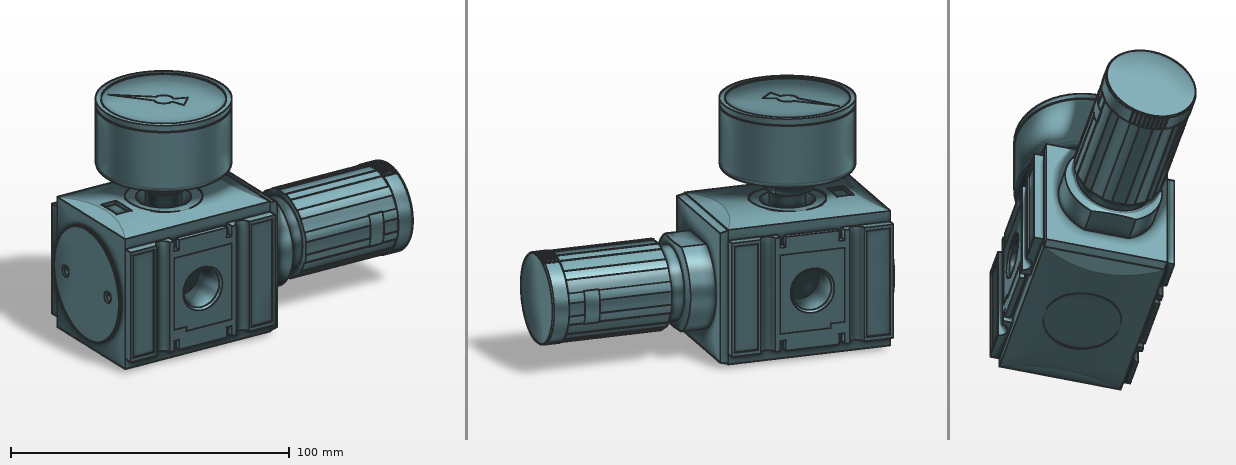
import cadquery as cq
import math


BLOCK_WIDTH = 45.0
BLOCK_HALF_LENGTH = 31.0
SIDE_EDGE_HEIGHT = 25.5
CROWN_HEIGHT = 27.1
END_BEVEL_LENGTH = 6.0
FLANGE_STEP = 0.2
FLANGE_SIDE_STEP = 0.1
FLANGE_LENGTH = 3.0
FLANGE_END_Y = BLOCK_HALF_LENGTH + FLANGE_LENGTH

PAD_FACE_X = 26.0
PAD_HALF_HEIGHT = 21.5
PAD_HALF_LENGTH = 30.9
GROOVE_RADIUS = 2.75
GROOVE_Y = 17.0
PANEL_CENTER_Y = 25.25
PANEL_WIDTH = 9.1
PANEL_HEIGHT = 40.2
PANEL_DEPTH = 0.8
PORT_PANEL_HALF_WIDTH = 12.3
PORT_PANEL_TOP_Z = 14.8
PORT_PANEL_BOTTOM_Z = -15.0
PORT_PANEL_STEP_WIDTH = 5.3
PORT_PANEL_STEP_HEIGHT = 1.7
PORT_PANEL_DEPTH = 0.1
NOTCH_WIDTH = 2.1
NOTCH_DEPTH = 3.9
STRIP_THICKNESS = 2.0
PORT_DIAMETER = 15.1
PORT_MOUTH_DIAMETER = 16.8
PORT_DEPTH = 14.0

SEAT_DIAMETER = 28.0
SEAT_Z = 26.5
GAUGE_THREAD_DIAMETER = 13.16
GAUGE_PORT_MOUTH_DIAMETER = 20.0
GAUGE_THREAD_END_Z = 16.5
LABEL_WIDTH = 10.4
LABEL_LENGTH = 6.3
LABEL_CENTER_Y = -20.2
LABEL_FLOOR_Z = 25.6

CAP_FACE_Y = -33.0
CAP_DISC_THICKNESS = 1.0
CAP_DIAMETER = 43.5
CAP_EDGE_CHAMFER = 0.4
CAP_NECK_DIAMETER = 37.2
CAP_HOLE_DIAMETER = 3.2
CAP_HOLE_MOUTH_DIAMETER = 4.4
CAP_HOLE_OFFSET = 13.9
CAP_HOLE_DEPTH = 4.0
CAP_HOLE_MOUTH_ANGLE = 90.0

NUT_DIAMETER = 36.0
NUT_ACROSS_FLATS = 32.0
NUT_END_Y = 44.6
NUT_CHAMFER_HEIGHT = 0.9
NUT_CHAMFER_WIDTH = 3.0
BONNET_NECK_DIAMETER = 28.0

KNOB_START_Y = 50.3
KNOB_RIM_Y = 89.6
KNOB_END_Y = 96.0
KNOB_DIAMETER = 33.2
KNOB_RIM_DIAMETER = 33.6
KNOB_RIM_CHAMFER_LENGTH = 0.6
KNOB_RIM_CHAMFER_WIDTH = 0.4
FLUTE_COUNT = 12
FLUTE_ANGLE = 17.4
FLUTE_DEPTH = 0.3
GRIP_PAD_START_Y = 77.8
GRIP_PAD_END_Y = 83.5
GRIP_PAD_HALF_HEIGHT = 6.25
GRIP_PAD_RADIUS = 16.65
SERRATION_COUNT = 9
SERRATION_PITCH = 5.6
SERRATION_WIDTH = 0.45
SERRATION_DEPTH = 0.4

GAUGE_TOP_Z = 65.0
GAUGE_BOTTOM_Z = 38.5
GAUGE_DIAMETER = 49.0
GAUGE_RIM_HEIGHT = 2.4
GAUGE_GROOVE_WIDTH = 0.3
GAUGE_GROOVE_DEPTH = 0.2
GAUGE_BOTTOM_FILLET = 2.0
DIAL_DIAMETER = 45.0
DIAL_DEPTH = 0.5
NEEDLE_THICKNESS = 0.1
NEEDLE_HUB_RADIUS = 3.6
NEEDLE_LENGTH = 20.4
NEEDLE_ROOT_HALF_WIDTH = 1.6
NEEDLE_TAIL_LENGTH = 8.2
NEEDLE_TAIL_HALF_WIDTH = 3.4
NEEDLE_WAIST_HALF_WIDTH = 1.4
NEEDLE_ANGLE = 225.0
STEM_WIDTH = 14.3
STEM_BOTTOM_Z = 30.0
STEM_BEVEL_DIAMETER = 14.3
STEM_BEVEL_SLOPE = 0.5


def cylinder_y(diameter, y_start, y_end):
    """Solid cylinder on the Y axis."""
    return cq.Workplane("XZ", origin=(0, y_start, 0)).circle(diameter / 2).extrude(y_start - y_end)


def cylinder_z(diameter, z_start, z_end):
    """Solid cylinder on the Z axis."""
    return cq.Workplane("XY", origin=(0, 0, z_start)).circle(diameter / 2).extrude(z_end - z_start)


def box_between(x_range, y_range, z_range):
    """Box given by its limits along the three axes."""
    sizes = [high - low for low, high in (x_range, y_range, z_range)]
    corner = (x_range[0], y_range[0], z_range[0])
    return cq.Workplane("XY", origin=corner).box(*sizes, centered=False)


def make_block():
    """Block with domed top and bottom, bevelled towards both ends."""
    half_width = BLOCK_WIDTH / 2
    domed = (
        cq.Workplane("XZ", origin=(0, FLANGE_END_Y, 0))
        .moveTo(-half_width, -SIDE_EDGE_HEIGHT)
        .threePointArc((0, -CROWN_HEIGHT), (half_width, -SIDE_EDGE_HEIGHT))
        .lineTo(half_width, SIDE_EDGE_HEIGHT)
        .threePointArc((0, CROWN_HEIGHT), (-half_width, SIDE_EDGE_HEIGHT))
        .close()
        .extrude(FLANGE_END_Y + BLOCK_HALF_LENGTH)
    )
    slope = (CROWN_HEIGHT - SIDE_EDGE_HEIGHT) / END_BEVEL_LENGTH
    bevel_start_y = BLOCK_HALF_LENGTH - END_BEVEL_LENGTH
    flange_edge = SIDE_EDGE_HEIGHT - FLANGE_STEP
    flange_end = flange_edge - slope * FLANGE_LENGTH
    upper = [
        (-BLOCK_HALF_LENGTH, SIDE_EDGE_HEIGHT),
        (-bevel_start_y, CROWN_HEIGHT),
        (bevel_start_y, CROWN_HEIGHT),
        (BLOCK_HALF_LENGTH, SIDE_EDGE_HEIGHT),
        (BLOCK_HALF_LENGTH, flange_edge),
        (FLANGE_END_Y, flange_end),
    ]
    lower = [(y, -z) for y, z in reversed(upper)]
    side_outline = cq.Workplane("YZ").polyline(upper + lower).close().extrude(half_width, both=True)
    block = domed.intersect(side_outline)
    flange_half_width = half_width - FLANGE_SIDE_STEP
    flange_y = (BLOCK_HALF_LENGTH, FLANGE_END_Y)
    full_height = (-CROWN_HEIGHT, CROWN_HEIGHT)
    for x_range in ((-half_width, -flange_half_width), (flange_half_width, half_width)):
        block = block.cut(box_between(x_range, flange_y, full_height))
    return block


def make_side_pad():
    """Pad on the -X side with grooves, shallow panels and clip notches."""
    outer_x = -PAD_FACE_X
    block_x = -BLOCK_WIDTH / 2
    pad = box_between(
        (outer_x, block_x), (-PAD_HALF_LENGTH, PAD_HALF_LENGTH), (-PAD_HALF_HEIGHT, PAD_HALF_HEIGHT)
    )
    for side in (-1, 1):
        groove = (
            cq.Workplane("XY", origin=(outer_x, side * GROOVE_Y, 0))
            .circle(GROOVE_RADIUS)
            .extrude(PAD_HALF_HEIGHT, both=True)
        )
        panel = cq.Workplane("XY", origin=(outer_x, side * PANEL_CENTER_Y, 0)).box(
            2 * PANEL_DEPTH, PANEL_WIDTH, PANEL_HEIGHT
        )
        pad = pad.cut(groove).cut(panel)

    notch_floor_z = PAD_HALF_HEIGHT - NOTCH_DEPTH
    notch_inner_y = PORT_PANEL_HALF_WIDTH - NOTCH_WIDTH
    for z_range in ((notch_floor_z, PAD_HALF_HEIGHT), (-PAD_HALF_HEIGHT, -notch_floor_z)):
        clip_recess = box_between(
            (outer_x, block_x), (-PORT_PANEL_HALF_WIDTH, PORT_PANEL_HALF_WIDTH), z_range
        )
        strip = box_between(
            (outer_x, outer_x + STRIP_THICKNESS), (-notch_inner_y, notch_inner_y), z_range
        )
        pad = pad.cut(clip_recess.cut(strip))

    step_y = PORT_PANEL_STEP_WIDTH - PORT_PANEL_HALF_WIDTH
    step_z = PORT_PANEL_BOTTOM_Z + PORT_PANEL_STEP_HEIGHT
    port_panel = (
        cq.Workplane("YZ", origin=(outer_x, 0, 0))
        .polyline([
            (PORT_PANEL_HALF_WIDTH, PORT_PANEL_TOP_Z),
            (-PORT_PANEL_HALF_WIDTH, PORT_PANEL_TOP_Z),
            (-PORT_PANEL_HALF_WIDTH, step_z),
            (step_y, step_z),
            (step_y, PORT_PANEL_BOTTOM_Z),
            (PORT_PANEL_HALF_WIDTH, PORT_PANEL_BOTTOM_Z),
        ])
        .close()
        .extrude(PORT_PANEL_DEPTH)
    )
    return pad.cut(port_panel)


def make_port():
    """Blind -X side port with a chamfered mouth, as a cutting solid."""
    radius = PORT_DIAMETER / 2
    mouth_radius = PORT_MOUTH_DIAMETER / 2
    mouth_x = PORT_PANEL_DEPTH - PAD_FACE_X
    return (
        cq.Workplane("XY")
        .polyline([
            (-PAD_FACE_X, 0),
            (-PAD_FACE_X, mouth_radius),
            (mouth_x, mouth_radius),
            (mouth_x + mouth_radius - radius, radius),
            (mouth_x + PORT_DEPTH, radius),
            (mouth_x + PORT_DEPTH, 0),
        ])
        .close()
        .revolve(360, (0, 0, 0), (1, 0, 0))
    )


def make_gauge_seat():
    """Spot face and threaded port for the gauge, as a cutting solid."""
    bore_radius = GAUGE_THREAD_DIAMETER / 2
    mouth_radius = GAUGE_PORT_MOUTH_DIAMETER / 2
    seat_radius = SEAT_DIAMETER / 2
    return (
        cq.Workplane("XZ")
        .polyline([
            (0, GAUGE_THREAD_END_Z),
            (bore_radius, GAUGE_THREAD_END_Z),
            (bore_radius, SEAT_Z - (mouth_radius - bore_radius)),
            (mouth_radius, SEAT_Z),
            (seat_radius, SEAT_Z),
            (seat_radius, CROWN_HEIGHT),
            (0, CROWN_HEIGHT),
        ])
        .close()
        .revolve(360, (0, 0, 0), (0, 1, 0))
    )


def make_bottom_cap():
    """Thin chamfered disc on a short neck at the -Y end."""
    disc_back_y = CAP_FACE_Y + CAP_DISC_THICKNESS
    disc = cylinder_y(CAP_DIAMETER, CAP_FACE_Y, disc_back_y).faces("<Y").chamfer(CAP_EDGE_CHAMFER)
    return disc.union(cylinder_y(CAP_NECK_DIAMETER, disc_back_y, -BLOCK_HALF_LENGTH))


def drill_cap_holes(body):
    """Drill the two countersunk spanner holes into the bottom cap."""
    return (
        body.faces("<Y")
        .workplane(origin=(0, CAP_FACE_Y, 0))
        .pushPoints([(-CAP_HOLE_OFFSET, 0), (CAP_HOLE_OFFSET, 0)])
        .cskHole(CAP_HOLE_DIAMETER, CAP_HOLE_MOUTH_DIAMETER, CAP_HOLE_MOUTH_ANGLE, depth=CAP_HOLE_DEPTH)
    )


def make_bonnet():
    """Round nut with two spanner flats, and the neck that carries the knob."""
    nut = cylinder_y(NUT_DIAMETER, FLANGE_END_Y, NUT_END_Y)
    nut = nut.faces(">Y").chamfer(NUT_CHAMFER_HEIGHT, NUT_CHAMFER_WIDTH)
    flats = box_between(
        (-NUT_DIAMETER / 2, NUT_DIAMETER / 2),
        (FLANGE_END_Y, NUT_END_Y),
        (-NUT_ACROSS_FLATS / 2, NUT_ACROSS_FLATS / 2),
    )
    return nut.intersect(flats).union(cylinder_y(BONNET_NECK_DIAMETER, NUT_END_Y, KNOB_START_Y))


def make_housing():
    """Block with side pads, ports, bottom cap and bonnet in one piece."""
    side = make_side_pad()
    port = make_port()
    body = make_block().union(side).union(side.mirror("YZ"))
    body = body.cut(port).cut(port.mirror("YZ"))
    label = box_between(
        (-LABEL_WIDTH / 2, LABEL_WIDTH / 2),
        (LABEL_CENTER_Y - LABEL_LENGTH / 2, LABEL_CENTER_Y + LABEL_LENGTH / 2),
        (LABEL_FLOOR_Z, CROWN_HEIGHT),
    )
    bottom_spot_face = cylinder_z(SEAT_DIAMETER, -CROWN_HEIGHT, -SEAT_Z)
    body = body.cut(make_gauge_seat()).cut(bottom_spot_face).cut(label)
    body = body.union(make_bottom_cap()).union(make_bonnet())
    return drill_cap_holes(body)


def make_flute(angle):
    """Shallow groove along the grip, as a cutting solid centred on the given angle."""
    outer = KNOB_RIM_DIAMETER / 2
    inner = KNOB_DIAMETER / 2 - FLUTE_DEPTH

    def at(radius, offset):
        theta = math.radians(angle + offset)
        return (radius * math.cos(theta), radius * math.sin(theta))

    half = FLUTE_ANGLE / 2
    return (
        cq.Workplane("XZ", origin=(0, KNOB_RIM_Y, 0))
        .moveTo(*at(inner, -half))
        .lineTo(*at(outer, -half))
        .threePointArc(at(outer, 0), at(outer, half))
        .lineTo(*at(inner, half))
        .threePointArc(at(inner, 0), at(inner, -half))
        .close()
        .extrude(KNOB_RIM_Y - KNOB_START_Y)
    )


def make_knob():
    """Fluted grip with a serrated end rim."""
    grip = cylinder_y(KNOB_DIAMETER, KNOB_START_Y, KNOB_RIM_Y)
    for index in range(FLUTE_COUNT):
        grip = grip.cut(make_flute(index * 360 / FLUTE_COUNT))

    pad_band = cylinder_y(2 * GRIP_PAD_RADIUS, GRIP_PAD_START_Y, GRIP_PAD_END_Y)
    pad_limit = box_between(
        (-GRIP_PAD_RADIUS, GRIP_PAD_RADIUS),
        (GRIP_PAD_START_Y, GRIP_PAD_END_Y),
        (-GRIP_PAD_HALF_HEIGHT, GRIP_PAD_HALF_HEIGHT),
    )
    grip = grip.union(pad_band.intersect(pad_limit))

    rim = cylinder_y(KNOB_RIM_DIAMETER, KNOB_RIM_Y, KNOB_END_Y).faces(">Y").chamfer(
        KNOB_RIM_CHAMFER_LENGTH, KNOB_RIM_CHAMFER_WIDTH
    )
    rim_length = KNOB_END_Y - KNOB_RIM_Y
    tooth_gap = cq.Workplane("XY").box(SERRATION_WIDTH, rim_length, 2 * SERRATION_DEPTH).translate(
        (0, (KNOB_RIM_Y + KNOB_END_Y) / 2, KNOB_RIM_DIAMETER / 2)
    )
    for group_angle in (0, 180):
        for index in range(SERRATION_COUNT):
            angle = group_angle + (index - (SERRATION_COUNT - 1) / 2) * SERRATION_PITCH
            rim = rim.cut(tooth_gap.rotate((0, 0, 0), (0, 1, 0), angle))
    return grip.union(rim)


def make_needle():
    """Pointer lying on the dial: round hub, long tip and flared tail."""
    dial_z = GAUGE_TOP_Z - DIAL_DEPTH
    plane = cq.Workplane("XY", origin=(0, 0, dial_z))
    hub = plane.circle(NEEDLE_HUB_RADIUS).extrude(NEEDLE_THICKNESS)
    pointer = (
        plane.polyline([
            (NEEDLE_LENGTH, 0),
            (NEEDLE_HUB_RADIUS, NEEDLE_ROOT_HALF_WIDTH),
            (-NEEDLE_HUB_RADIUS, NEEDLE_WAIST_HALF_WIDTH),
            (-NEEDLE_TAIL_LENGTH, NEEDLE_TAIL_HALF_WIDTH),
            (-NEEDLE_TAIL_LENGTH, -NEEDLE_TAIL_HALF_WIDTH),
            (-NEEDLE_HUB_RADIUS, -NEEDLE_WAIST_HALF_WIDTH),
            (NEEDLE_HUB_RADIUS, -NEEDLE_ROOT_HALF_WIDTH),
        ])
        .close()
        .extrude(NEEDLE_THICKNESS)
    )
    return hub.union(pointer).rotate((0, 0, 0), (0, 0, 1), NEEDLE_ANGLE)


def make_gauge():
    """Round case with dial and needle, on a square stem with a threaded end."""
    rim_z = GAUGE_TOP_Z - GAUGE_RIM_HEIGHT
    groove_z = rim_z - GAUGE_GROOVE_WIDTH
    case = cylinder_z(GAUGE_DIAMETER, GAUGE_BOTTOM_Z, groove_z)
    case = case.faces("<Z").edges().fillet(GAUGE_BOTTOM_FILLET)
    groove = cylinder_z(GAUGE_DIAMETER - 2 * GAUGE_GROOVE_DEPTH, groove_z, rim_z)
    rim = cylinder_z(GAUGE_DIAMETER, rim_z, GAUGE_TOP_Z)
    dial_recess = cylinder_z(DIAL_DIAMETER, GAUGE_TOP_Z - DIAL_DEPTH, GAUGE_TOP_Z)
    case = case.union(groove).union(rim).cut(dial_recess).union(make_needle())

    stem_height = GAUGE_BOTTOM_Z - STEM_BOTTOM_Z
    stem = cq.Workplane("XY", origin=(0, 0, STEM_BOTTOM_Z)).rect(STEM_WIDTH, STEM_WIDTH).extrude(stem_height)
    bevel_radius = STEM_BEVEL_DIAMETER / 2
    top_radius = bevel_radius + stem_height / STEM_BEVEL_SLOPE
    turned = cq.Workplane(cq.Solid.makeCone(
        bevel_radius, top_radius, stem_height, cq.Vector(0, 0, STEM_BOTTOM_Z), cq.Vector(0, 0, 1)
    ))
    thread = cylinder_z(GAUGE_THREAD_DIAMETER, GAUGE_THREAD_END_Z, STEM_BOTTOM_Z)
    return case.union(stem.intersect(turned)).union(thread)


housing = make_housing()
knob = make_knob()
gauge = make_gauge()

result = cq.Compound.makeCompound([housing.val(), knob.val(), gauge.val()])